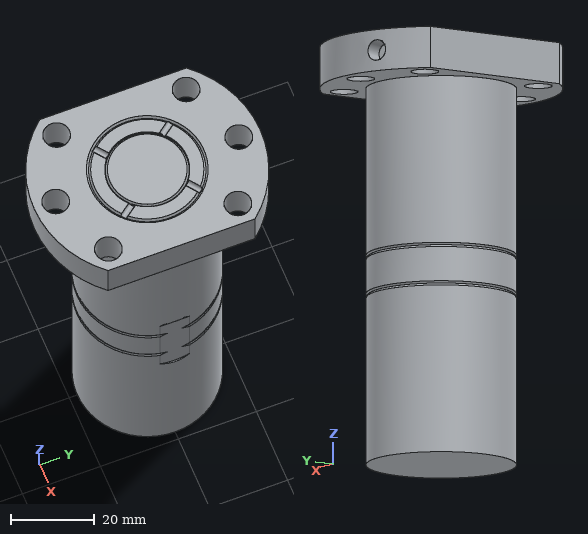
import cadquery as cq
import math

length = 101.0
body_radius = 36.0 / 2

flange_thickness = 10.0
flange_radius = 58.0 / 2
flange_width = 44.0
flange_top = length / 2
body_middle = -flange_thickness / 2
bolt_circle_radius = 47.0 / 2
bolt_hole_diameter = 6.6
bolt_angles = (45, 90, 135, 225, 270, 315)

port_diameter = 4.9
port_depth = 5.0
port_angle = 112.5

body_groove_width = 1.0
body_groove_depth = 0.3
body_groove_spacing = 9.3

spot_diameter = 20.2
spot_depth = 0.4

outer_ring_radius = 29.0 / 2
outer_ring_width = 1.0
inner_ring_radius = 20.2 / 2
disc_radius = 20.0 / 2
disc_chamfer = 0.5
spoke_diameter = 1.6
spoke_count = 4
spoke_angle = 37
spoke_offset = 1.8


def revolved_cut(profile):
    """Ring around the Z axis with the given (radius, height) profile."""
    return cq.Workplane("XZ").polyline(profile).close().revolve(360, (0, 0, 0), (0, 1, 0))


def make_flange():
    """Disc with two parallel flats and a pattern of bolt holes."""
    bottom = cq.Workplane("XY").workplane(offset=flange_top - flange_thickness)
    disc = bottom.circle(flange_radius).extrude(flange_thickness)
    trim = bottom.rect(flange_width, 2 * flange_radius).extrude(flange_thickness)
    centers = [
        (
            bolt_circle_radius * math.cos(math.radians(angle)),
            bolt_circle_radius * math.sin(math.radians(angle)),
        )
        for angle in bolt_angles
    ]
    holes = bottom.pushPoints(centers).circle(bolt_hole_diameter / 2).extrude(flange_thickness)
    return disc.intersect(trim).cut(holes)


def radial_cylinder(diameter, start, end, angle, height, offset=0):
    """Cylinder lying along a radius, or beside it by an offset, between two distances from the Z axis."""
    base = cq.Workplane("YZ", origin=(start, offset, height))
    cylinder = base.circle(diameter / 2).extrude(end - start)
    return cylinder.rotate((0, 0, 0), (0, 0, 1), angle)


body = cq.Workplane("XY").workplane(offset=-length / 2).circle(body_radius).extrude(length - flange_thickness)
result = body.union(make_flange())

port_height = flange_top - flange_thickness / 2
result = result.cut(
    radial_cylinder(port_diameter, flange_radius - port_depth, flange_radius, port_angle, port_height)
)

for side in (-1, 1):
    groove_height = body_middle + side * body_groove_spacing / 2
    half_width = body_groove_width / 2
    result = result.cut(
        revolved_cut(
            [
                (body_radius, groove_height - half_width),
                (body_radius - body_groove_depth, groove_height),
                (body_radius, groove_height + half_width),
            ]
        )
    )

result = result.cut(
    radial_cylinder(spot_diameter, body_radius - spot_depth, body_radius, 0, body_middle)
)

spoke_start = math.sqrt(inner_ring_radius**2 - spoke_offset**2)
spoke_end = math.sqrt((outer_ring_radius - outer_ring_width / 2) ** 2 - spoke_offset**2)
for index in range(spoke_count):
    angle = spoke_angle + index * 360 / spoke_count
    result = result.cut(
        radial_cylinder(spoke_diameter, spoke_start, spoke_end, angle, flange_top, spoke_offset)
    )

result = result.cut(
    revolved_cut(
        [
            (outer_ring_radius, flange_top),
            (outer_ring_radius - outer_ring_width / 2, flange_top - outer_ring_width / 2),
            (outer_ring_radius - outer_ring_width, flange_top),
        ]
    )
)

result = result.cut(
    revolved_cut(
        [
            (inner_ring_radius, flange_top),
            (inner_ring_radius, flange_top - disc_chamfer),
            (disc_radius, flange_top - disc_chamfer),
            (disc_radius - disc_chamfer, flange_top),
        ]
    )
)